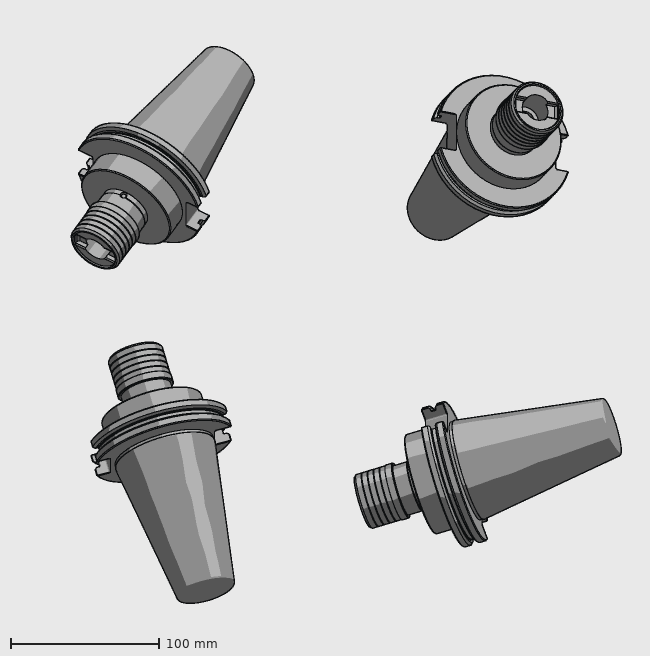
import cadquery as cq
import math


overall_length = 178.1

taper_gauge_radius = 34.9
taper_slope = 7 / 48
taper_length = 101.5
taper_tip_round = 1.8

gauge_land_end = -1.0
relief_radius = 34.5

flange_radius = 49.2
flange_top = -3.2
flange_bottom = -19.0
flange_chamfer = 0.7
groove_centre = -11.2
groove_radius = 45.5
groove_width = 3.5
groove_floor_chamfer = 0.5
groove_flank_radius = 47.4
groove_mouth_width = 6.6

left_slot_floor = 35.3
right_slot_floor = 37.8
slot_half_width = 13.4
slot_edge_chamfer = 0.5
slot_corner_radius = 0.9

body_radius = 35.0
body_end = -35.0
body_chamfer = 0.7

spigot_end = taper_length - overall_length
undercut_radius = 17.3
undercut_end = -38.8
undercut_runout = 0.5
neck_radius = 17.5
collar_top = -49.0
collar_bottom = -54.1
collar_radius = 19.5
collar_chamfer = 0.5
sleeve_radius = 19.0
sleeve_end_chamfer = 1.6
sleeve_end_step = 1.2
ring_groove_count = 4
ring_groove_first = -58.0
ring_groove_pitch = 4.3
ring_groove_width = 0.5
ring_groove_depth = 0.2

recess_radius = 16.7
recess_floor_radius = 16.2
recess_depth = 1.0
bore_radius = 9.5
bore_depth = 21.4
pilot_radius = 6.2
pilot_depth = 5.3
key_half_length = 15.7
key_half_width = 5.2
key_depth = 4.0
key_edge_chamfer = 0.9
key_end_chamfer = 1.6

dimple_y = -37.8
dimple_radius = 2.5
dimple_floor_radius = 1.6
dimple_depth = 1.5


def revolve_about_axis(points):
    """Revolve a closed (radius, y) outline about the Y axis."""
    return cq.Workplane("XY").polyline(points).close().revolve(360, (0, 0, 0), (0, 1, 0))


def make_blank():
    """Turned outer shape from the taper tip to the spigot end."""
    tip_radius = taper_gauge_radius - taper_slope * taper_length
    groove_half = groove_width / 2
    mouth_half = groove_mouth_width / 2
    blank = revolve_about_axis([
        (0, taper_length),
        (tip_radius, taper_length),
        (taper_gauge_radius, 0),
        (taper_gauge_radius, gauge_land_end),
        (relief_radius, gauge_land_end),
        (relief_radius, flange_top),
        (flange_radius - flange_chamfer, flange_top),
        (flange_radius, flange_top - flange_chamfer),
        (flange_radius, groove_centre + mouth_half),
        (groove_flank_radius, groove_centre + groove_half),
        (groove_radius + groove_floor_chamfer, groove_centre + groove_half),
        (groove_radius, groove_centre + groove_half - groove_floor_chamfer),
        (groove_radius, groove_centre - groove_half + groove_floor_chamfer),
        (groove_radius + groove_floor_chamfer, groove_centre - groove_half),
        (groove_flank_radius, groove_centre - groove_half),
        (flange_radius, groove_centre - mouth_half),
        (flange_radius, flange_bottom + flange_chamfer),
        (flange_radius - flange_chamfer, flange_bottom),
        (body_radius, flange_bottom),
        (body_radius, body_end + body_chamfer),
        (body_radius - body_chamfer, body_end),
        (undercut_radius, body_end),
        (undercut_radius, undercut_end),
        (neck_radius, undercut_end - undercut_runout),
        (neck_radius, collar_top),
        (collar_radius - collar_chamfer, collar_top),
        (collar_radius, collar_top - collar_chamfer),
        (collar_radius, collar_bottom),
        (sleeve_radius, collar_bottom),
        (sleeve_radius, spigot_end + sleeve_end_chamfer),
        (sleeve_radius - sleeve_end_step, spigot_end),
        (0, spigot_end),
    ])
    return blank.faces(">Y").edges().fillet(taper_tip_round)


def make_ring_groove(y):
    """Fine groove around the spigot sleeve, centred on y."""
    floor_radius = sleeve_radius - ring_groove_depth
    half = ring_groove_width / 2
    return revolve_about_axis([
        (floor_radius, y - half),
        (collar_radius, y - half),
        (collar_radius, y + half),
        (floor_radius, y + half),
    ])


def make_drive_slot(floor_x):
    """Slot cutter on the +X side, with a rounded floor and chamfered outer and end edges."""
    mouth_half = slot_half_width + slot_edge_chamfer
    rim_x = math.sqrt(flange_radius**2 - mouth_half**2)
    flare_x = rim_x - slot_edge_chamfer
    reach = flange_radius - flare_x
    length = flange_top - flange_bottom
    channel = (
        cq.Workplane("XZ", origin=(0, flange_top, 0))
        .polyline([
            (floor_x, -slot_half_width),
            (flare_x, -slot_half_width),
            (flare_x + reach, -slot_half_width - reach),
            (flare_x + reach, slot_half_width + reach),
            (flare_x, slot_half_width),
            (floor_x, slot_half_width),
        ])
        .close()
        .extrude(length)
        .edges("<X and |Y").fillet(slot_corner_radius)
    )
    flare_start = floor_x + slot_corner_radius
    end_flares = (
        cq.Workplane("YZ", origin=(flare_start, 0, 0))
        .polyline([
            (flange_top, mouth_half),
            (flange_top - slot_edge_chamfer, slot_half_width),
            (flange_bottom + slot_edge_chamfer, slot_half_width),
            (flange_bottom, mouth_half),
            (flange_bottom, -mouth_half),
            (flange_bottom + slot_edge_chamfer, -slot_half_width),
            (flange_top - slot_edge_chamfer, -slot_half_width),
            (flange_top, -mouth_half),
        ])
        .close()
        .extrude(flange_radius - flare_start)
    )
    return channel.union(end_flares)


def make_end_bore():
    """Recess, bore and smaller pilot hole in the spigot end."""
    bore_floor = spigot_end + bore_depth
    return revolve_about_axis([
        (0, spigot_end),
        (recess_radius, spigot_end),
        (recess_floor_radius, spigot_end + recess_depth),
        (bore_radius, spigot_end + recess_depth),
        (bore_radius, bore_floor),
        (pilot_radius, bore_floor),
        (pilot_radius, bore_floor + pilot_depth),
        (0, bore_floor + pilot_depth),
    ])


def make_key_slot():
    """Shallow slot across the bore, with chamfered long edges and sloped floor ends."""
    mouth_y = spigot_end + recess_depth
    mouth_half = key_half_width + key_edge_chamfer
    slot = (
        cq.Workplane("XZ", origin=(0, mouth_y, 0))
        .rect(2 * key_half_length, 2 * key_half_width)
        .extrude(-key_depth)
        .faces(">Y").edges("|Z").chamfer(key_end_chamfer)
    )
    flare = (
        cq.Workplane("YZ", origin=(-key_half_length, 0, 0))
        .polyline([
            (mouth_y, mouth_half),
            (mouth_y + key_edge_chamfer, key_half_width),
            (mouth_y + key_edge_chamfer, -key_half_width),
            (mouth_y, -mouth_half),
        ])
        .close()
        .extrude(2 * key_half_length)
    )
    return slot.union(flare)


def make_dimple():
    """Tapered blind dimple sunk into the top of the neck."""
    return (
        cq.Workplane("XY", origin=(0, dimple_y, neck_radius - dimple_depth))
        .circle(dimple_floor_radius)
        .workplane(offset=dimple_depth)
        .circle(dimple_radius)
        .loft()
    )


result = make_blank()
for index in range(ring_groove_count):
    result = result.cut(make_ring_groove(ring_groove_first - index * ring_groove_pitch))
result = result.cut(make_drive_slot(right_slot_floor))
result = result.cut(make_drive_slot(left_slot_floor).mirror("YZ"))
result = result.cut(make_end_bore())
result = result.cut(make_key_slot())
result = result.cut(make_dimple())